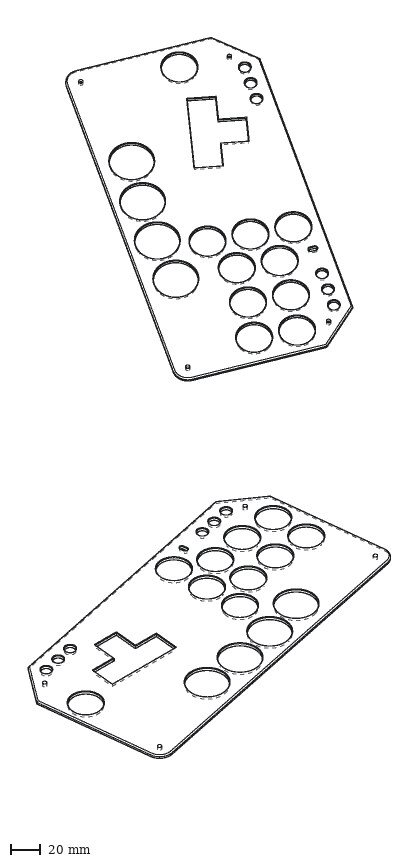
import cadquery as cq
import math

LENGTH = 267.8
WIDTH = 131.0
THICKNESS = 2.5
BACK_CORNER_CUT = 26.2
FRONT_CORNER_RADIUS = 10.2
EDGE_CHAMFER = 1.0

RIM_CHAMFER = 0.5

SCREW_DIAMETER = 3.0
BACK_SCREW_X = 115.0
BACK_SCREW_Y = 46.3
FRONT_SCREW_X = LENGTH / 2 - FRONT_CORNER_RADIUS
FRONT_SCREW_Y = FRONT_CORNER_RADIUS - WIDTH / 2

SMALL_BUTTON_DIAMETER = 7.8
SMALL_BUTTON_PITCH = 13.7
SMALL_BUTTON_MIDDLE_X = 89.5
BACK_ROW_Y = 53.5

SLOT_X = 54.4
SLOT_LENGTH = 6.0
SLOT_WIDTH = 3.0

BUTTON_DIAMETER = 24.0
BUTTON_PITCH = 29.5
COLUMN_SLANT = 5.2
COLUMNS = [
    (33.2, 46.3, 3),
    (57.3, 29.5, 2),
    (86.8, 28.5, 2),
    (116.0, 23.8, 2),
]
SIDE_BUTTON = (-116.0, 11.5)

THUMB_DIAMETER = 30.0
INNER_THUMB_Y = -44.5
OUTER_THUMB_Y = -41.8
THUMB_PITCH = 34.0
THUMB_MIDDLE_X = 0.5

KEY_SIZE = 19.0
KEY_BAR_CENTRE = (-59.2, 12.3)
KEY_TILT = -12.0


def make_blank():
    """Plate with two cut back corners, two rounded front corners."""
    blank = cq.Workplane("XY").box(LENGTH, WIDTH, THICKNESS, centered=(True, True, False))
    blank = blank.edges("|Z and >Y").chamfer(BACK_CORNER_CUT)
    return blank.edges("|Z and <Y").fillet(FRONT_CORNER_RADIUS)


def bevel_outer_edge(plate):
    outline = plate.faces(">Z").val().outerWire()
    return plate.newObject(outline.Edges()).chamfer(EDGE_CHAMFER)


def bevel_opening_rims(plate):
    rims = plate.faces(">Z").val().innerWires()
    return plate.newObject([edge for rim in rims for edge in rim.Edges()]).chamfer(RIM_CHAMFER)


def round_cutters(centres, diameter):
    return cq.Workplane("XY").pushPoints(centres).circle(diameter / 2).extrude(THICKNESS)


def screw_centres():
    pairs = [(BACK_SCREW_X, BACK_SCREW_Y), (FRONT_SCREW_X, FRONT_SCREW_Y)]
    return [(side * x, y) for side in (-1, 1) for x, y in pairs]


def small_button_centres():
    return [
        (side * SMALL_BUTTON_MIDDLE_X + step * SMALL_BUTTON_PITCH, BACK_ROW_Y)
        for side in (-1, 1)
        for step in (-1, 0, 1)
    ]


def action_button_centres():
    slant = math.radians(COLUMN_SLANT)
    step_x = -BUTTON_PITCH * math.sin(slant)
    step_y = -BUTTON_PITCH * math.cos(slant)
    centres = [SIDE_BUTTON]
    for x, y, count in COLUMNS:
        centres += [(x + row * step_x, y + row * step_y) for row in range(count)]
    return centres


def thumb_button_centres():
    inner = THUMB_PITCH / 2
    outer = inner + THUMB_PITCH
    offsets = [(inner, INNER_THUMB_Y), (outer, OUTER_THUMB_Y)]
    return [(THUMB_MIDDLE_X + side * x, y) for side in (-1, 1) for x, y in offsets]


def slot_cutter():
    slot = cq.Workplane("XY").center(SLOT_X, BACK_ROW_Y)
    return slot.slot2D(SLOT_LENGTH, SLOT_WIDTH, 90).extrude(THICKNESS)


def key_cutter():
    bar = cq.Workplane("XY").rect(3 * KEY_SIZE, KEY_SIZE).extrude(THICKNESS)
    stem = cq.Workplane("XY").center(0, KEY_SIZE).rect(KEY_SIZE, KEY_SIZE).extrude(THICKNESS)
    opening = bar.union(stem).rotate((0, 0, 0), (0, 0, 1), KEY_TILT)
    return opening.translate((*KEY_BAR_CENTRE, 0))


plate = (
    make_blank()
    .cut(round_cutters(small_button_centres(), SMALL_BUTTON_DIAMETER))
    .cut(round_cutters(action_button_centres(), BUTTON_DIAMETER))
    .cut(round_cutters(thumb_button_centres(), THUMB_DIAMETER))
    .cut(slot_cutter())
    .cut(key_cutter())
)
plate = bevel_opening_rims(bevel_outer_edge(plate))

result = plate.cut(round_cutters(screw_centres(), SCREW_DIAMETER))